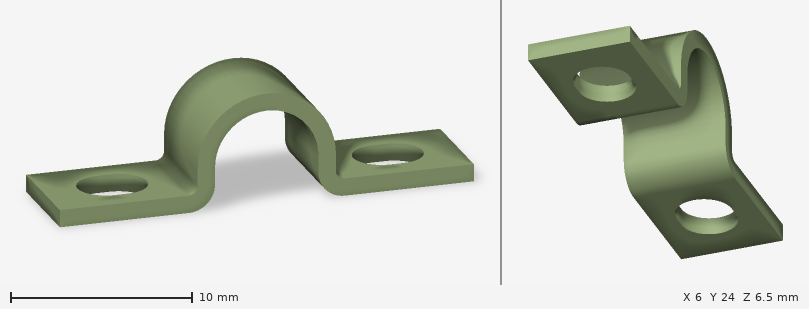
import cadquery as cq

width = 6.0
length = 24.0
height = 6.5
thickness = 1.0

saddle_radius = 4.0
bend_inner_radius = 0.5
bend_outer_radius = bend_inner_radius + thickness

slot_length = 4.0
slot_width = 3.25
slot_offset = 8.0

saddle_bore_radius = saddle_radius - thickness
saddle_center_z = height - saddle_radius


def strip_profile():
    """Constant-thickness bent strip in the YZ plane, with sharp foot bends."""
    return (
        cq.Workplane("YZ")
        .moveTo(-length / 2, 0)
        .lineTo(-saddle_bore_radius, 0)
        .lineTo(-saddle_bore_radius, saddle_center_z)
        .threePointArc((0, height - thickness), (saddle_bore_radius, saddle_center_z))
        .lineTo(saddle_bore_radius, 0)
        .lineTo(length / 2, 0)
        .lineTo(length / 2, thickness)
        .lineTo(saddle_radius, thickness)
        .lineTo(saddle_radius, saddle_center_z)
        .threePointArc((0, height), (-saddle_radius, saddle_center_z))
        .lineTo(-saddle_radius, thickness)
        .lineTo(-length / 2, thickness)
        .close()
    )


def round_bend(body, y, z, radius):
    """Round the pair of X-direction edges at +y and -y on height z."""
    for side in (-1, 1):
        edge = cq.selectors.NearestToPointSelector((0, side * y, z))
        body = body.edges("|X").edges(edge).fillet(radius)
    return body


def slot_cutters():
    return (
        cq.Workplane("XY")
        .pushPoints([(0, -slot_offset), (0, slot_offset)])
        .slot2D(slot_length, slot_width, 90)
        .extrude(thickness)
    )


clamp = strip_profile().extrude(width / 2, both=True)
clamp = round_bend(clamp, saddle_radius, thickness, bend_inner_radius)
clamp = round_bend(clamp, saddle_bore_radius, 0, bend_outer_radius)
result = clamp.cut(slot_cutters())